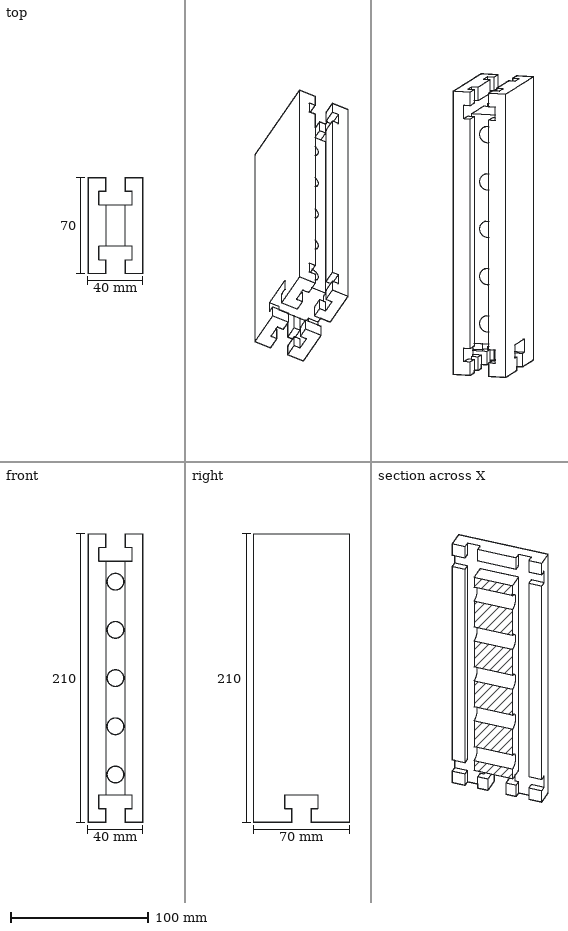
import cadquery as cq

length = 210.0
width = 40.0
depth = 70.0

neck_width = 14.0
head_width = 24.0
neck_depth = 10.0
slot_depth = 20.0

hole_diameter = 12.0
hole_pitch = 35.0
hole_count = 5


def t_slot(face_distance, run):
    """T-slot centred on the Z axis, opening upward at face_distance and running along Y."""
    head_height = slot_depth - neck_depth
    floor = face_distance - slot_depth
    upward = (True, True, False)
    head = cq.Workplane("XY", origin=(0, 0, floor)).box(head_width, run, head_height, centered=upward)
    neck = cq.Workplane("XY", origin=(0, 0, floor)).box(neck_width, run, slot_depth, centered=upward)
    return head.union(neck)


body = cq.Workplane("XY").box(width, depth, length)

end_slot = t_slot(length / 2, depth)
body = body.cut(end_slot)
body = body.cut(end_slot.mirror("XY"))

side_slot = t_slot(depth / 2, length).rotate((0, 0, 0), (1, 0, 0), 90)
body = body.cut(side_slot)
body = body.cut(side_slot.mirror("XZ"))

cross_slot = t_slot(length / 2, width).rotate((0, 0, 0), (0, 0, 1), 90)
body = body.cut(cross_slot.mirror("XY"))

holes = (
    cq.Workplane("XZ")
    .rarray(2, hole_pitch, 1, hole_count)
    .circle(hole_diameter / 2)
    .extrude(depth / 2, both=True)
)
result = body.cut(holes)